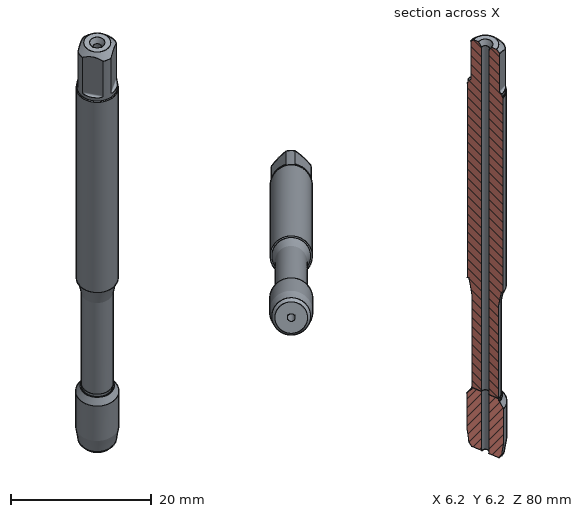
import cadquery as cq

total_length = 80.0
tip_chamfer_top = 0.6
lead_taper_top = 3.0
head_cylinder_top = 10.1
head_cone_top = 11.2
head_top = 11.7
neck_top = 29.9
shank_bottom = 32.8
shank_top = 71.1
shank_chamfer_height = 0.2
flats_bottom = 71.8
flats_fillet_radius = 0.2

tip_diameter = 4.6
lead_diameter = 5.5
head_diameter = 6.2
head_cone_diameter = 4.9
neck_diameter = 4.6
shoulder_diameter = 5.5
shank_diameter = 6.0
drive_diameter = 5.8
drive_end_diameter = 3.8

drive_end_chamfer_height = 1.0
across_flats = 4.9
flat_count = 4
shank_bore_diameter = 1.2
head_bore_diameter = 1.1
countersink_diameter = 2.2
countersink_angle = 60.0


def revolve_profile(stations):
    """Turn (diameter, height) stations, listed upwards, into a solid about Z."""
    outline = [(diameter / 2, height) for diameter, height in stations]
    bottom = outline[0][1]
    top = outline[-1][1]
    points = [(0, bottom)] + outline + [(0, top)]
    return cq.Workplane("XZ").polyline(points).close().revolve(360, (0, 0, 0), (0, 1, 0))


def make_cutting_head():
    """Threading head with tapered lead, conical back end and coolant bore."""
    head = revolve_profile([
        (tip_diameter, 0),
        (lead_diameter, tip_chamfer_top),
        (head_diameter, lead_taper_top),
        (head_diameter, head_cylinder_top),
        (head_cone_diameter, head_cone_top),
        (neck_diameter, head_cone_top),
        (neck_diameter, head_top),
    ])
    return head.faces(">Z").workplane().hole(head_bore_diameter)


def make_flat_cutter(angle):
    """Block that mills one drive flat, with a rounded edge leaving a fillet at the flat's end."""
    drive_length = total_length - flats_bottom
    block = (
        cq.Workplane("XY", origin=(across_flats / 2, 0, flats_bottom))
        .box(shank_diameter, shank_diameter, drive_length, centered=(False, True, False))
        .edges("<X and <Z").fillet(flats_fillet_radius)
    )
    return block.rotate((0, 0, 0), (0, 0, 1), angle)


def make_shank():
    """Neck, cylindrical shank and square drive with a countersunk coolant bore."""
    turned = revolve_profile([
        (neck_diameter, head_top),
        (neck_diameter, neck_top),
        (shoulder_diameter, shank_bottom),
        (shank_diameter, shank_bottom),
        (shank_diameter, shank_top - shank_chamfer_height),
        (drive_diameter, shank_top),
        (drive_diameter, total_length - drive_end_chamfer_height),
        (drive_end_diameter, total_length),
    ])
    for index in range(flat_count):
        turned = turned.cut(make_flat_cutter(index * 360 / flat_count))
    return (
        turned.faces(">Z").workplane()
        .cskHole(shank_bore_diameter, countersink_diameter, countersink_angle)
    )


cutting_head = make_cutting_head()
shank = make_shank()

result = cq.Compound.makeCompound([cutting_head.val(), shank.val()])